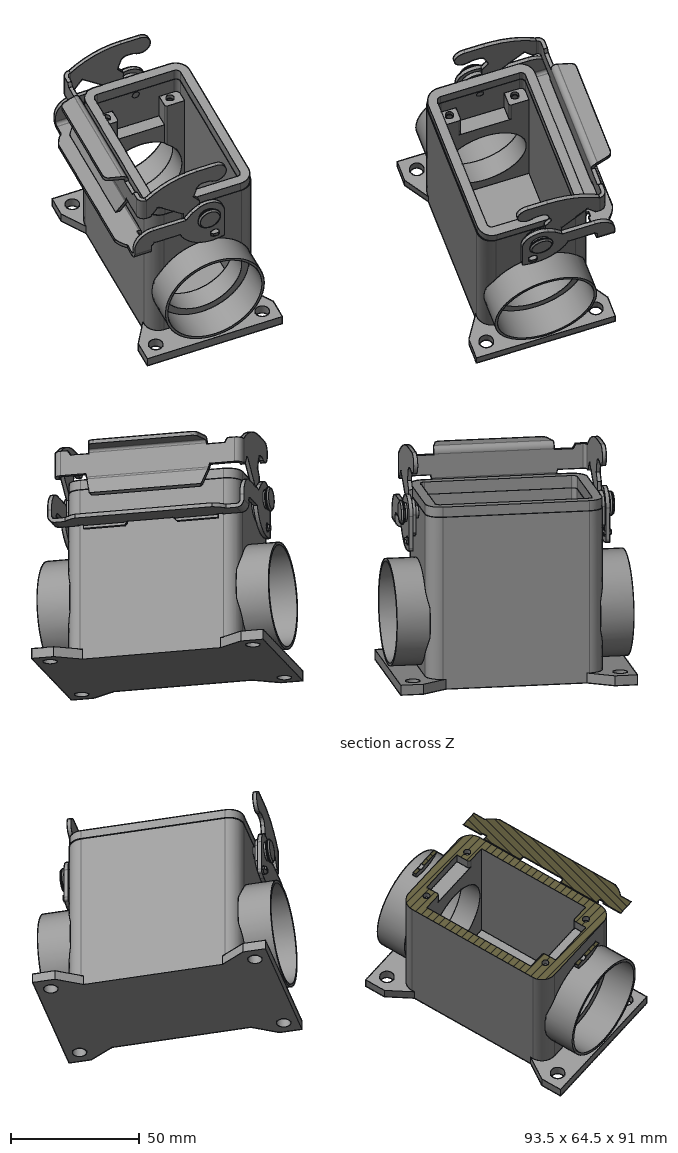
import cadquery as cq
TUBE_SPAN = 93.5
BODY_LENGTH = 69.9
BODY_DEPTH = 44.7
CORNER_RADIUS = 6.0
BODY_HEIGHT = 73.0
RIM_HEIGHT = 4.0
RIM_LONG_SIDE_INSET = 0.4
RIM_END_INSET = 0.1

FOOT_DEPTH = 57.2
FOOT_THICKNESS = 4.0
FOOT_FLAT_X = 37.8
FOOT_TAPER_X = 27.9
FOOT_HOLE_DIAMETER = 5.6
FOOT_HOLE_X = 40.95
FOOT_HOLE_Y = 22.5

WALL = 4.1
CAVITY_DEPTH = 36.1
CAVITY_RADIUS = 1.9
MOUTH_HEIGHT = 5.0
MOUTH_STEP = 0.1
END_BLOCK_TOP = 50.1
LEFT_BLOCK_THICKNESS = 5.2
RIGHT_BLOCK_THICKNESS = 6.0

POST_TOP = 61.1
POST_LENGTH = RIGHT_BLOCK_THICKNESS
POST_DEPTH = 8.1
POST_EDGE_RADIUS = 0.9
POST_HOLE_DIAMETER = 2.5
POST_MOUTH_DIAMETER = 3.2
POST_MOUTH_DEPTH = 1.9
POST_HOLE_DEPTH = 9.35
POST_HOLE_X = 28.5
POST_HOLE_Y = 13.5

TUBE_DIAMETER = 41.9
TUBE_Z = 26.2
BORE_DIAMETER = 33.85
SOCKET_DIAMETER = 39.8
SOCKET_DEPTH = 12.9
TUBE_ROOT_X = 33.7

SHEET = 1.6
BEND_RADIUS = 3.0
PIVOT_Z = 66.0
BRACKET_HALF_WIDTH = 39.6

RIVET_PIN_DIAMETER = 3.0
RIVET_COLLAR_DIAMETER = 5.05
RIVET_NECK_DIAMETER = 7.5
RIVET_HEAD_DIAMETER = 9.5
RIVET_HEAD_X = 40.5
RIVET_END_X = 42.1
RIVET_HEAD_CHAMFER = 0.7

LEVER_TOP = 91.0
HOOK_RADIUS = 4.3
LEVER_FRONT_Y = -28.2
FRONT_WALL_TOP = 83.4
FRONT_WALL_BOTTOM = 73.5
NOTCH_FLOOR = 81.5
NOTCH_OUTER_X = 32.3
NOTCH_CORNER_X = 31.1

FLAP_TIP_Y = -35.9
FLAP_TOP = 84.6
FLAP_BEND_RADIUS = 1.1
FLAP_ROOT_HALF_WIDTH = 23.75
FLAP_TIP_HALF_WIDTH = 21.6
FLAP_CORNER_RADIUS = 2.3

SKIRT_BEND_Z = 71.6
SKIRT_BEND_RADIUS = 1.9
SKIRT_TIP_Z = 64.5
SKIRT_LEAN = 3.4
SKIRT_UNDERCUT = 0.7
SKIRT_ROOT_HALF_WIDTH = 25.1
SKIRT_TIP_HALF_WIDTH = 22.4
SKIRT_CORNER_RADIUS = 1.4

SHELF_BOTTOM = 53.9
SHELF_BACK_Y = -23.75
SHELF_SIDE_FRONT_Y = -30.9
SHELF_FRONT_Y = -34.1
SHELF_FRONT_HALF_WIDTH = 27.7
SHELF_SHOULDER_HALF_WIDTH = 32.5
RECESS_Y = -24.5
RECESS_OUTER_X = 29.2
RECESS_CHAMFER = 0.7
LIP_CHAMFER = 0.9
LIP_OUTER_X = 27.1
LIP_INNER_X = 9.6
LIP_BACK_Y = -22.5
LIP_BOTTOM = 52.7
LIP_THICKNESS = 1.1

SPRING_HOLE_DIAMETER = 3.5
SPRING_Y = 3.0
SPRING_Z = 55.35
SPRING_TAB_HEIGHT = 1.4
SPRING_TAB_REACH = 1.2
SPRING_TAB_CHAMFER = 0.7

HALF_BODY = BODY_LENGTH / 2
HALF_DEPTH = BODY_DEPTH / 2
CAVITY_LENGTH = BODY_LENGTH - 2 * WALL
BRACKET_INNER_X = BRACKET_HALF_WIDTH - SHEET
LEVER_HALF_WIDTH = BRACKET_INNER_X
LEVER_INNER_X = LEVER_HALF_WIDTH - SHEET
LEVER_WALL_BACK_Y = LEVER_FRONT_Y + SHEET
SHELF_TOP = SHELF_BOTTOM + SHEET


def box(x_min, x_max, y_min, y_max, z_min, z_max):
    """Block between the given limits."""
    block = cq.Workplane("XY").box(x_max - x_min, y_max - y_min, z_max - z_min, centered=False)
    return block.translate((x_min, y_min, z_min))


def rounded_block(length, depth, radius, z_min, z_max):
    """Block centred on the Z axis with rounded vertical edges."""
    block = box(-length / 2, length / 2, -depth / 2, depth / 2, z_min, z_max)
    return block.edges("|Z").fillet(radius)


def x_cylinder(diameter, y, z, x_min, x_max):
    """Cylinder along X."""
    return cq.Workplane("YZ", origin=(x_min, 0, 0)).center(y, z).circle(diameter / 2).extrude(x_max - x_min)


def mirrored_in_x(shape):
    """The shape joined with its mirror image on the -X side."""
    return shape.union(shape.mirror("YZ"))


def foot_end():
    """+X half of the foot: two ears that taper into the body, each with a hole."""
    half_span = TUBE_SPAN / 2
    half_foot = FOOT_DEPTH / 2
    outline = [
        (0, HALF_DEPTH),
        (FOOT_TAPER_X, HALF_DEPTH),
        (FOOT_FLAT_X, half_foot),
        (half_span, half_foot),
        (half_span, -half_foot),
        (FOOT_FLAT_X, -half_foot),
        (FOOT_TAPER_X, -HALF_DEPTH),
        (0, -HALF_DEPTH),
    ]
    ears = cq.Workplane("XY").polyline(outline).close().extrude(FOOT_THICKNESS)
    holes = (
        cq.Workplane("XY")
        .pushPoints([(FOOT_HOLE_X, FOOT_HOLE_Y), (FOOT_HOLE_X, -FOOT_HOLE_Y)])
        .circle(FOOT_HOLE_DIAMETER / 2)
        .extrude(FOOT_THICKNESS)
    )
    return ears.cut(holes)


def cavity():
    """Open space inside the housing, narrower between the end blocks."""
    mouth_length = CAVITY_LENGTH + 2 * MOUTH_STEP
    mouth_depth = CAVITY_DEPTH + 2 * MOUTH_STEP
    mouth_z = BODY_HEIGHT - MOUTH_HEIGHT
    mouth = rounded_block(mouth_length, mouth_depth, CAVITY_RADIUS + MOUTH_STEP, mouth_z, BODY_HEIGHT)
    upper = rounded_block(CAVITY_LENGTH, CAVITY_DEPTH, CAVITY_RADIUS, END_BLOCK_TOP, mouth_z)
    half_length = CAVITY_LENGTH / 2
    half_depth = CAVITY_DEPTH / 2
    left_x = LEFT_BLOCK_THICKNESS - half_length
    right_x = half_length - RIGHT_BLOCK_THICKNESS
    lower = box(left_x, right_x, -half_depth, half_depth, FOOT_THICKNESS, END_BLOCK_TOP)
    return mouth.union(upper).union(lower)


def post():
    """Screw post in the +X +Y corner of the cavity."""
    corner_x = CAVITY_LENGTH / 2
    corner_y = CAVITY_DEPTH / 2
    embed = WALL / 2
    column = box(
        corner_x - POST_LENGTH,
        corner_x + embed,
        corner_y - POST_DEPTH,
        corner_y + embed,
        FOOT_THICKNESS,
        POST_TOP,
    )
    column = column.edges("|Z and <X and <Y").fillet(POST_EDGE_RADIUS)
    screw_hole = (
        cq.Workplane("XY", origin=(POST_HOLE_X, POST_HOLE_Y, POST_TOP))
        .circle(POST_HOLE_DIAMETER / 2)
        .extrude(-POST_HOLE_DEPTH)
    )
    mouth = (
        cq.Workplane("XY", origin=(POST_HOLE_X, POST_HOLE_Y, POST_TOP))
        .circle(POST_MOUTH_DIAMETER / 2)
        .extrude(-POST_MOUTH_DEPTH)
    )
    return column.cut(screw_hole).cut(mouth)


def make_housing():
    """Box-shaped connector housing with foot, cable tubes, cavity and screw posts."""
    rim_z = BODY_HEIGHT - RIM_HEIGHT
    body = rounded_block(BODY_LENGTH, BODY_DEPTH, CORNER_RADIUS, 0, rim_z)
    rim_length = BODY_LENGTH - 2 * RIM_END_INSET
    rim_depth = BODY_DEPTH - 2 * RIM_LONG_SIDE_INSET
    rim = rounded_block(rim_length, rim_depth, CORNER_RADIUS, rim_z, BODY_HEIGHT)
    half_span = TUBE_SPAN / 2
    tube = x_cylinder(TUBE_DIAMETER, 0, TUBE_Z, TUBE_ROOT_X, half_span)
    housing = body.union(rim).union(mirrored_in_x(foot_end())).union(tube).union(tube.mirror("YZ"))

    housing = housing.cut(cavity())
    corner_post = post()
    side_posts = corner_post.union(corner_post.mirror("XZ"))
    housing = housing.union(mirrored_in_x(side_posts))

    socket = x_cylinder(SOCKET_DIAMETER, 0, TUBE_Z, half_span - SOCKET_DEPTH, half_span)
    housing = housing.cut(socket).cut(socket.mirror("YZ"))
    housing = housing.cut(x_cylinder(BORE_DIAMETER, 0, TUBE_Z, -half_span, half_span))
    rivet_holes = x_cylinder(RIVET_PIN_DIAMETER, 0, PIVOT_Z, -HALF_BODY, HALF_BODY)
    return housing.cut(rivet_holes)


def lever_silhouette():
    """Side outline of the lever, extruded over its whole width."""
    hook_y = 4.3
    hook_z = LEVER_TOP - HOOK_RADIUS
    foot_back_y = 5.1
    foot_front_y = -9.4
    outline = (
        cq.Workplane("YZ", origin=(-LEVER_HALF_WIDTH, 0, 0))
        .moveTo(LEVER_FRONT_Y, FRONT_WALL_BOTTOM)
        .lineTo(LEVER_FRONT_Y, FRONT_WALL_TOP)
        .lineTo(-25.2, FRONT_WALL_TOP)
        .threePointArc((-15.15, 89.0), (-3.55, LEVER_TOP))
        .lineTo(hook_y, LEVER_TOP)
        .threePointArc((hook_y + HOOK_RADIUS, hook_z), (hook_y, hook_z - HOOK_RADIUS))
        .lineTo(2.6, 82.75)
        .threePointArc((1.5, 83.3), (0.3, 83.4))
        .lineTo(-1.5, 83.4)
        .threePointArc((-3.0, 82.8), (-3.9, 81.4))
        .lineTo(-5.3, 77.2)
        .lineTo(-2.8, 74.1)
        .lineTo(-2.8, 70.3)
        .threePointArc((3.1, 70.1), (foot_back_y, PIVOT_Z))
        .lineTo(foot_back_y, 58.7)
        .threePointArc((-3.3, 56.8), (foot_front_y, 64.2))
        .lineTo(foot_front_y, 69.2)
        .lineTo(-19.9, 77.5)
        .lineTo(-20.5, 77.5)
        .lineTo(-23.6, FRONT_WALL_BOTTOM)
        .close()
    )
    return outline.extrude(2 * LEVER_HALF_WIDTH)


def lever_channel():
    """U-shaped sheet, open to the back, from which the lever outline is cut."""
    back_y = 9.35
    outer = box(-LEVER_HALF_WIDTH, LEVER_HALF_WIDTH, LEVER_FRONT_Y, back_y, SHELF_TOP, LEVER_TOP)
    outer = outer.edges("|Z and <Y").fillet(BEND_RADIUS)
    inner = box(-LEVER_INNER_X, LEVER_INNER_X, LEVER_WALL_BACK_Y, back_y, SHELF_TOP, LEVER_TOP)
    inner = inner.edges("|Z and <Y").fillet(BEND_RADIUS - SHEET)
    return outer.cut(inner)


def front_wall_notches():
    """Cutter that lowers the top edge of the front wall between its outer shoulders."""
    clearance_z = LEVER_TOP
    outline = [
        (-NOTCH_OUTER_X, clearance_z),
        (-NOTCH_OUTER_X, FRONT_WALL_TOP),
        (-NOTCH_CORNER_X, NOTCH_FLOOR),
        (NOTCH_CORNER_X, NOTCH_FLOOR),
        (NOTCH_OUTER_X, FRONT_WALL_TOP),
        (NOTCH_OUTER_X, clearance_z),
    ]
    return cq.Workplane("XZ", origin=(0, LEVER_WALL_BACK_Y, 0)).polyline(outline).close().extrude(SHEET)


def upper_flap():
    """Finger flap bent outward from the top of the front wall."""
    bend_y = LEVER_FRONT_Y - FLAP_BEND_RADIUS
    outer_radius = FLAP_BEND_RADIUS + SHEET
    bend_z = FLAP_TOP - outer_radius
    diagonal = 0.5 ** 0.5
    outer_offset = outer_radius * diagonal
    inner_offset = FLAP_BEND_RADIUS * diagonal
    back_y = bend_y + outer_radius
    section = (
        cq.Workplane("YZ", origin=(-FLAP_ROOT_HALF_WIDTH, 0, 0))
        .moveTo(LEVER_FRONT_Y, NOTCH_FLOOR)
        .lineTo(back_y, NOTCH_FLOOR)
        .lineTo(back_y, bend_z)
        .threePointArc((bend_y + outer_offset, bend_z + outer_offset), (bend_y, FLAP_TOP))
        .lineTo(FLAP_TIP_Y, FLAP_TOP)
        .lineTo(FLAP_TIP_Y, FLAP_TOP - SHEET)
        .lineTo(bend_y, FLAP_TOP - SHEET)
        .threePointArc((bend_y + inner_offset, bend_z + inner_offset), (LEVER_FRONT_Y, bend_z))
        .close()
        .extrude(2 * FLAP_ROOT_HALF_WIDTH)
    )
    plan = [
        (-FLAP_ROOT_HALF_WIDTH, LEVER_WALL_BACK_Y),
        (-FLAP_ROOT_HALF_WIDTH, LEVER_FRONT_Y),
        (-FLAP_TIP_HALF_WIDTH, FLAP_TIP_Y),
        (FLAP_TIP_HALF_WIDTH, FLAP_TIP_Y),
        (FLAP_ROOT_HALF_WIDTH, LEVER_FRONT_Y),
        (FLAP_ROOT_HALF_WIDTH, LEVER_WALL_BACK_Y),
    ]
    trim_height = FLAP_TOP - NOTCH_FLOOR
    trim = cq.Workplane("XY", origin=(0, 0, NOTCH_FLOOR)).polyline(plan).close().extrude(trim_height)
    return section.intersect(trim.edges("|Z and <Y").fillet(FLAP_CORNER_RADIUS))


def lower_flap():
    """Flap below the front wall, leaning outward."""
    front_tip_y = LEVER_FRONT_Y - SKIRT_LEAN
    bottom_z = SKIRT_TIP_Z - SKIRT_UNDERCUT
    section = [
        (LEVER_FRONT_Y, FRONT_WALL_BOTTOM),
        (LEVER_FRONT_Y, SKIRT_BEND_Z),
        (front_tip_y, SKIRT_TIP_Z),
        (front_tip_y + SHEET, bottom_z),
        (LEVER_WALL_BACK_Y, SKIRT_BEND_Z),
        (LEVER_WALL_BACK_Y, FRONT_WALL_BOTTOM),
    ]
    width = 2 * SKIRT_ROOT_HALF_WIDTH
    sheet = cq.Workplane("YZ", origin=(-SKIRT_ROOT_HALF_WIDTH, 0, 0)).polyline(section).close().extrude(width)
    sheet = sheet.edges(
        cq.selectors.NearestToPointSelector((0, LEVER_FRONT_Y, SKIRT_BEND_Z))
    ).fillet(SKIRT_BEND_RADIUS)
    sheet = sheet.edges(
        cq.selectors.NearestToPointSelector((0, LEVER_WALL_BACK_Y, SKIRT_BEND_Z))
    ).fillet(SKIRT_BEND_RADIUS + SHEET)
    face = [
        (-SKIRT_ROOT_HALF_WIDTH, FRONT_WALL_BOTTOM),
        (-SKIRT_TIP_HALF_WIDTH, bottom_z),
        (SKIRT_TIP_HALF_WIDTH, bottom_z),
        (SKIRT_ROOT_HALF_WIDTH, FRONT_WALL_BOTTOM),
    ]
    trim_depth = SKIRT_LEAN + SHEET
    trim = cq.Workplane("XZ", origin=(0, LEVER_WALL_BACK_Y, 0)).polyline(face).close().extrude(trim_depth)
    return sheet.intersect(trim.edges("|Y and <Z").fillet(SKIRT_CORNER_RADIUS))


def make_lever():
    """Locking lever: two hooked side plates joined by the front wall and its flaps."""
    lever = lever_channel().intersect(lever_silhouette())
    return lever.cut(front_wall_notches()).union(upper_flap()).union(lower_flap())


def bracket_side():
    """+X side plate of the bracket: rivet lobe, arm and the drop to the cross plate."""
    arm_top = 67.1
    arm_bottom = 60.1
    lobe_back_y = 7.2
    bend_top = SHELF_BOTTOM + BEND_RADIUS
    outline = (
        cq.Workplane("YZ", origin=(BRACKET_INNER_X, 0, 0))
        .moveTo(lobe_back_y, PIVOT_Z)
        .threePointArc((3.55, 72.1), (-3.55, 72.0))
        .lineTo(-6.4, 70.1)
        .lineTo(-9.3, arm_top)
        .lineTo(-22.8, arm_top)
        .threePointArc((-28.5, 64.8), (SHELF_SIDE_FRONT_Y, 59.1))
        .lineTo(SHELF_SIDE_FRONT_Y, bend_top)
        .lineTo(SHELF_BACK_Y, bend_top)
        .lineTo(SHELF_BACK_Y, 58.9)
        .lineTo(-22.5, arm_bottom)
        .lineTo(-11.7, arm_bottom)
        .threePointArc((-5.5, 53.3), (3.3, 51.4))
        .lineTo(6.0, 51.9)
        .threePointArc((6.9, 52.2), (lobe_back_y, 53.1))
        .close()
    )
    plate = outline.extrude(SHEET)
    spring_hole = x_cylinder(SPRING_HOLE_DIAMETER, SPRING_Y, SPRING_Z, BRACKET_INNER_X, BRACKET_HALF_WIDTH)
    half_tab = SPRING_TAB_HEIGHT / 2
    half_hole = SPRING_HOLE_DIAMETER / 2
    tab = box(
        BRACKET_INNER_X,
        BRACKET_HALF_WIDTH + SPRING_TAB_REACH,
        SPRING_Y - half_hole,
        SPRING_Y + half_hole,
        SPRING_Z - half_tab,
        SPRING_Z + half_tab,
    )
    tab = tab.edges("|Z and >X").chamfer(SPRING_TAB_CHAMFER)
    return plate.cut(spring_hole).union(tab)


def bracket_channel():
    """Bent corners and middle strip of the cross plate."""
    leg_overlap = 0.9
    top = SHELF_BOTTOM + BEND_RADIUS + leg_overlap
    limits_y = (SHELF_SIDE_FRONT_Y, SHELF_BACK_Y)
    outer = box(-BRACKET_HALF_WIDTH, BRACKET_HALF_WIDTH, *limits_y, SHELF_BOTTOM, top)
    outer = outer.edges("|Y and <Z").fillet(BEND_RADIUS)
    inner = box(-BRACKET_INNER_X, BRACKET_INNER_X, *limits_y, SHELF_TOP, top)
    inner = inner.edges("|Y and <Z").fillet(BEND_RADIUS - SHEET)
    recess_limits = (RECESS_Y, SHELF_BACK_Y, SHELF_BOTTOM, SHELF_TOP)
    middle_recess = box(-LIP_INNER_X, LIP_INNER_X, *recess_limits)
    middle_recess = middle_recess.edges("|Z and <Y").chamfer(RECESS_CHAMFER)
    corner_recess = box(LIP_OUTER_X, RECESS_OUTER_X, *recess_limits)
    channel = outer.cut(inner).cut(middle_recess)
    return channel.cut(corner_recess).cut(corner_recess.mirror("YZ"))


def shelf_front():
    """Front part of the cross plate with rounded shoulders."""
    shoulder_mid = (30.3, -32.8)
    outline = (
        cq.Workplane("XY", origin=(0, 0, SHELF_BOTTOM))
        .moveTo(-SHELF_SHOULDER_HALF_WIDTH, SHELF_SIDE_FRONT_Y)
        .threePointArc((-shoulder_mid[0], shoulder_mid[1]), (-SHELF_FRONT_HALF_WIDTH, SHELF_FRONT_Y))
        .lineTo(SHELF_FRONT_HALF_WIDTH, SHELF_FRONT_Y)
        .threePointArc(shoulder_mid, (SHELF_SHOULDER_HALF_WIDTH, SHELF_SIDE_FRONT_Y))
        .close()
    )
    return outline.extrude(SHEET)


def shelf_lip():
    """+X lip bent down from the back edge of the cross plate, next to the housing."""
    front_y = LIP_BACK_Y - LIP_THICKNESS
    section = (
        cq.Workplane("YZ", origin=(LIP_INNER_X, 0, 0))
        .moveTo(RECESS_Y, SHELF_BOTTOM)
        .lineTo(RECESS_Y, SHELF_TOP)
        .lineTo(front_y, SHELF_TOP)
        .threePointArc((-22.9, 55.1), (LIP_BACK_Y, 54.3))
        .lineTo(LIP_BACK_Y, LIP_BOTTOM)
        .lineTo(front_y, LIP_BOTTOM)
        .lineTo(front_y, SHELF_BOTTOM)
        .close()
    )
    lip = section.extrude(LIP_OUTER_X - LIP_INNER_X)
    return lip.edges("|Y and <X and <Z").chamfer(LIP_CHAMFER)


def make_bracket():
    """Support bracket: two side plates joined by the cross plate."""
    sides = mirrored_in_x(bracket_side())
    return sides.union(bracket_channel()).union(shelf_front()).union(mirrored_in_x(shelf_lip()))


def rivet():
    """+X rivet, flush with the inside of the housing wall."""
    pin = x_cylinder(RIVET_PIN_DIAMETER, 0, PIVOT_Z, HALF_BODY - WALL, HALF_BODY)
    collar = x_cylinder(RIVET_COLLAR_DIAMETER, 0, PIVOT_Z, HALF_BODY, BRACKET_HALF_WIDTH)
    neck = x_cylinder(RIVET_NECK_DIAMETER, 0, PIVOT_Z, BRACKET_HALF_WIDTH, RIVET_HEAD_X)
    head = x_cylinder(RIVET_HEAD_DIAMETER, 0, PIVOT_Z, RIVET_HEAD_X, RIVET_END_X)
    head = head.edges().chamfer(RIVET_HEAD_CHAMFER)
    return pin.union(collar).union(neck).union(head)


def make_latch():
    """Lever, bracket and rivets as one solid."""
    return make_lever().union(make_bracket()).union(mirrored_in_x(rivet()))


housing = make_housing()
latch = make_latch()
result = cq.Compound.makeCompound([housing.val(), latch.val()])